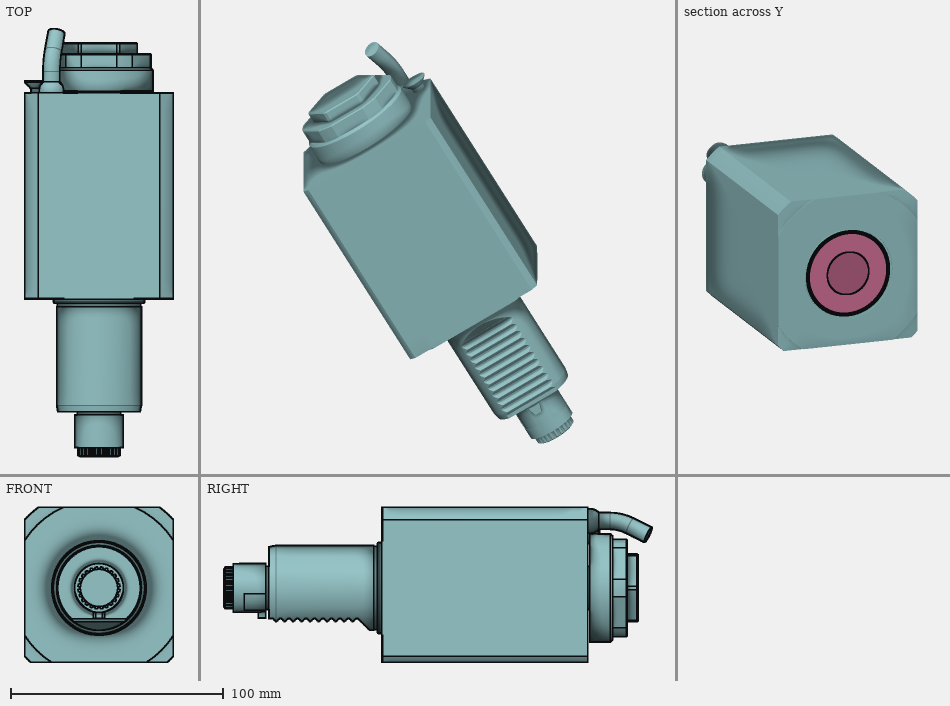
import cadquery as cq
import math


BLOCK_WIDTH = 70.0
BLOCK_LENGTH = 97.0
BLOCK_TOP = 38.0
BLOCK_BOTTOM = -35.0
BLOCK_TURNED_DIA = 95.0
FACE_DIA = 83.0
FACE_STEP = 0.5

RING_DIA = 43.0
RING_SECTION_DIA = 2.1
RING_CENTER_Y = -1.0
RING_GROOVE_DIA = 44.5
RING_GROOVE_DEPTH = 0.5

SHANK_DIA = 40.0
SHANK_LENGTH = 53.0
SHANK_CHAMFER_LENGTH = 3.2
SHANK_CHAMFER_DEPTH = 0.6
RELIEF_DIA = 39.4
RELIEF_END = 3.6

TOOTH_PITCH = 4.0
TOOTH_COUNT = 10
TOOTH_TIP_Z = -15.9
TOOTH_ROOT_Z = -14.4
FIRST_TIP_Y = -13.6
TIP_FLAT = 0.2

NOZZLE_X = -22.4
NOZZLE_Z = 31.5
BALL_DIA = 11.57
BALL_Y = 98.0
TUBE_DIA = 8.0
TUBE_STRAIGHT_END = 107.3
TUBE_TIP_Y = 127.24
BEND_RADIUS = 20.0
BEND_ANGLE = 28.0
BEND_TURN = 20.0

SCREW_X = -29.1
SCREW_Z = 23.8
SCREW_DIA = 6.0
SCREW_HEAD_DIA = 11.8
SCREW_STEM_LENGTH = 2.1
SCREW_RIM_LENGTH = 0.7

SPINDLE_DIA = 20.5
FLANGE_DIA = 51.0
FLANGE_GAP = 0.8
FLANGE_END = 108.8
FLANGE_CHAMFER = 1.2
LARGE_HEX_FLATS = 46.0
LARGE_HEX_CORNER_DIA = 49.0
LARGE_HEX_END = 115.5
SMALL_HEX_FLATS = 32.0
SMALL_HEX_CORNER_DIA = 36.0
SMALL_HEX_END = 120.6
HEX_CHAMFER = 0.5

COLLAR_DIA = 23.0
COLLAR_START = -54.5
COLLAR_END = -69.8
RECESS_DEPTH = 0.3
RECESS_LENGTH = 10.0
RECESS_TOP_Z = -2.8
RECESS_BOTTOM_Z = -10.6
KEY_LENGTH = 3.6
KEY_BACK_WIDTH = 5.5
KEY_FRONT_WIDTH = 3.2
KEY_BOTTOM_Z = -14.2
SPLINE_DIA = 19.84
SPLINE_ROOT_DIA = 18.24
SPLINE_TEETH = 24
SPLINE_END = -74.2
SPLINE_FACE_DIA = 17.5
SPLINE_CHAMFER = 0.7
GROOVE_ROOT_WIDTH = 0.8
GROOVE_MOUTH_WIDTH = 1.7


def turned(points):
    """Solid of revolution about Y from (radius, y) points."""
    return cq.Workplane("XY").polyline(points).close().revolve(360, (0, 0), (0, 1))


def cylinder(diameter, y_start, y_end, x=0.0, z=0.0):
    """Cylinder along Y between two Y positions."""
    start = cq.Workplane("XZ", origin=(x, y_start, z))
    return start.circle(diameter / 2).extrude(y_start - y_end)


def block():
    height = BLOCK_TOP - BLOCK_BOTTOM
    body = cq.Workplane("XY").box(BLOCK_WIDTH, BLOCK_LENGTH, height)
    body = body.translate((0, BLOCK_LENGTH / 2, (BLOCK_TOP + BLOCK_BOTTOM) / 2))
    bar = cylinder(BLOCK_TURNED_DIA, FACE_STEP, BLOCK_LENGTH)
    bar = bar.union(cylinder(FACE_DIA, 0, FACE_STEP))
    ring_groove = cylinder(RING_GROOVE_DIA, 0, RING_GROOVE_DEPTH)
    ring_groove = ring_groove.cut(cylinder(RING_DIA, 0, RING_GROOVE_DEPTH))
    return body.intersect(bar).cut(ring_groove)


def seal_ring():
    center_radius = (RING_DIA - RING_SECTION_DIA) / 2
    section = cq.Workplane("XY").center(center_radius, RING_CENTER_Y).circle(RING_SECTION_DIA / 2)
    return section.revolve(360, (-center_radius, 0), (-center_radius, 1))


def shank():
    radius = SHANK_DIA / 2
    chamfer_start = -SHANK_LENGTH + SHANK_CHAMFER_LENGTH
    return turned([
        (0, 0),
        (RELIEF_DIA / 2, 0),
        (RELIEF_DIA / 2, -RELIEF_END),
        (radius, -RELIEF_END),
        (radius, chamfer_start),
        (radius - SHANK_CHAMFER_DEPTH, -SHANK_LENGTH),
        (0, -SHANK_LENGTH),
    ])


def toothed_flat():
    """Cutter that leaves 90 degree teeth on a flat below the shank, with a 45 degree run-out."""
    below = -SHANK_DIA / 2 - 1
    ramp_top_y = FIRST_TIP_Y + TOOTH_PITCH
    ramp_bottom_y = ramp_top_y + TOOTH_TIP_Z - below
    flank = TOOTH_TIP_Z - TOOTH_ROOT_Z
    points = [(ramp_bottom_y, below), (ramp_top_y, TOOTH_TIP_Z)]
    for i in range(TOOTH_COUNT):
        tip_y = FIRST_TIP_Y - i * TOOTH_PITCH
        tip_start = tip_y + TIP_FLAT / 2
        previous_tip_end = tip_y + TOOTH_PITCH - TIP_FLAT / 2
        points += [
            (previous_tip_end, TOOTH_TIP_Z),
            (previous_tip_end + flank, TOOTH_ROOT_Z),
            (tip_start - flank, TOOTH_ROOT_Z),
            (tip_start, TOOTH_TIP_Z),
        ]
    last_tip_end = FIRST_TIP_Y - (TOOTH_COUNT - 1) * TOOTH_PITCH - TIP_FLAT / 2
    points += [
        (last_tip_end, TOOTH_TIP_Z),
        (last_tip_end + flank, TOOTH_ROOT_Z),
        (-SHANK_LENGTH, TOOTH_ROOT_Z),
        (-SHANK_LENGTH, below),
    ]
    return cq.Workplane("YZ").polyline(points).close().extrude(SHANK_DIA / 2, both=True)


def nozzle():
    ball = cq.Workplane("XY").sphere(BALL_DIA / 2).translate((NOZZLE_X, BALL_Y, NOZZLE_Z))
    angle = math.radians(BEND_ANGLE)
    tip_center_y = TUBE_TIP_Y - TUBE_DIA / 2 * math.sin(angle)

    def bend_point(turn):
        return (
            TUBE_STRAIGHT_END + BEND_RADIUS * math.sin(turn),
            NOZZLE_Z - BEND_RADIUS * (1 - math.cos(turn)),
        )

    bend_end = bend_point(angle)
    tip_length = (tip_center_y - bend_end[0]) / math.cos(angle)
    tip_end = (tip_center_y, bend_end[1] - tip_length * math.sin(angle))
    path = (
        cq.Workplane("YZ", origin=(NOZZLE_X, 0, 0))
        .moveTo(BALL_Y, NOZZLE_Z)
        .lineTo(TUBE_STRAIGHT_END, NOZZLE_Z)
        .threePointArc(bend_point(angle / 2), bend_end)
        .lineTo(*tip_end)
    )
    section = cq.Workplane("XZ", origin=(NOZZLE_X, BALL_Y, NOZZLE_Z)).circle(TUBE_DIA / 2)
    tube = section.sweep(path)
    axis_start = (NOZZLE_X, 0, NOZZLE_Z)
    axis_end = (NOZZLE_X, 1, NOZZLE_Z)
    return ball.union(tube.rotate(axis_start, axis_end, -BEND_TURN))


def screw():
    stem = SCREW_DIA / 2
    head = SCREW_HEAD_DIA / 2
    cone_start = BLOCK_LENGTH + SCREW_STEM_LENGTH
    rim_start = cone_start + head - stem
    rim_end = rim_start + SCREW_RIM_LENGTH
    profile = turned([
        (0, BLOCK_LENGTH),
        (stem, BLOCK_LENGTH),
        (stem, cone_start),
        (head, rim_start),
        (head, rim_end),
        (0, rim_end),
    ])
    return profile.translate((SCREW_X, 0, SCREW_Z))


def make_housing():
    body = block().union(shank().cut(toothed_flat())).union(seal_ring())
    body = body.union(nozzle()).union(screw())
    return body.cut(cylinder(SPINDLE_DIA, -SHANK_LENGTH, BLOCK_LENGTH))


def rounded_hex(flats, corner_dia, y_start, y_end):
    """Hexagon with turned corners, flats facing up and down, chamfered at its +Y end."""
    corners = flats / math.cos(math.radians(30))
    start = cq.Workplane("XZ", origin=(0, y_start, 0))
    prism = start.polygon(6, corners).extrude(y_start - y_end)
    bar = cylinder(corner_dia, y_start, y_end)
    return prism.intersect(bar).faces(">Y").chamfer(HEX_CHAMFER)


def collar():
    body = cylinder(COLLAR_DIA, COLLAR_START, COLLAR_END)
    recess_end = COLLAR_START - RECESS_LENGTH
    shell = cylinder(COLLAR_DIA, COLLAR_START, recess_end)
    shell = shell.cut(cylinder(COLLAR_DIA - 2 * RECESS_DEPTH, COLLAR_START, recess_end))
    band = cq.Workplane("XY").box(COLLAR_DIA, RECESS_LENGTH, RECESS_TOP_Z - RECESS_BOTTOM_Z)
    band = band.translate((0, COLLAR_START - RECESS_LENGTH / 2, (RECESS_TOP_Z + RECESS_BOTTOM_Z) / 2))
    return body.cut(shell.intersect(band))


def drive_key():
    """Key below the collar, tapering towards -Y."""
    front_y = COLLAR_START - KEY_LENGTH
    plan = cq.Workplane("XY", origin=(0, 0, KEY_BOTTOM_Z)).polyline([
        (-KEY_BACK_WIDTH / 2, COLLAR_START),
        (KEY_BACK_WIDTH / 2, COLLAR_START),
        (KEY_FRONT_WIDTH / 2, front_y),
        (-KEY_FRONT_WIDTH / 2, front_y),
    ])
    return plan.close().extrude(-KEY_BOTTOM_Z)


def spline():
    radius = SPLINE_DIA / 2
    body = turned([
        (0, COLLAR_END),
        (radius, COLLAR_END),
        (radius, SPLINE_END + SPLINE_CHAMFER),
        (SPLINE_FACE_DIA / 2, SPLINE_END),
        (0, SPLINE_END),
    ])
    groove = cq.Workplane("XZ", origin=(0, COLLAR_END, 0)).polyline([
        (-GROOVE_ROOT_WIDTH / 2, SPLINE_ROOT_DIA / 2),
        (GROOVE_ROOT_WIDTH / 2, SPLINE_ROOT_DIA / 2),
        (GROOVE_MOUTH_WIDTH / 2, radius),
        (-GROOVE_MOUTH_WIDTH / 2, radius),
    ]).close().extrude(COLLAR_END - SPLINE_END)
    for i in range(SPLINE_TEETH):
        body = body.cut(groove.rotate((0, 0, 0), (0, 1, 0), i * 360 / SPLINE_TEETH))
    return body


def make_spindle():
    shaft = cylinder(SPINDLE_DIA, COLLAR_START, BLOCK_LENGTH + FLANGE_GAP)
    flange = cylinder(FLANGE_DIA, BLOCK_LENGTH + FLANGE_GAP, FLANGE_END)
    flange = flange.faces(">Y").chamfer(FLANGE_CHAMFER)
    large_hex = rounded_hex(LARGE_HEX_FLATS, LARGE_HEX_CORNER_DIA, FLANGE_END, LARGE_HEX_END)
    small_hex = rounded_hex(SMALL_HEX_FLATS, SMALL_HEX_CORNER_DIA, LARGE_HEX_END, SMALL_HEX_END)
    body = shaft.union(flange).union(large_hex).union(small_hex)
    return body.union(collar()).union(drive_key()).union(spline())


housing = make_housing().solids()
spindle = make_spindle().solids()

result = cq.Compound.makeCompound([housing.val(), spindle.val()])